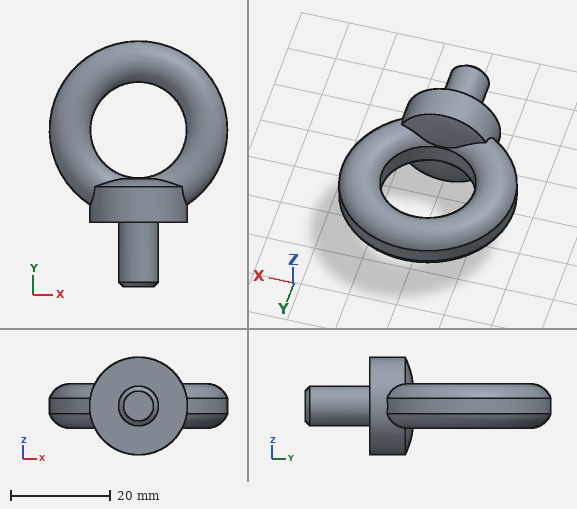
import cadquery as cq
import math

ring_outer_radius = 17.95
ring_inner_radius = 9.65
section_radius = 4.5
outer_flat_height = 3.05

collar_radius = 9.85
collar_edge_y = -11.45
collar_base_y = -18.6
crown_top_y = -9.75
crown_top_radius = 3.95
crown_mid_y = -10.35
crown_mid_radius = 7.0
stud_radius = 4.0
stud_chamfer = 1.0
total_length = 49.55
stud_tip_y = ring_outer_radius - total_length


def make_ring():
    """Round bar section cut flat at the outer and inner rims, swept about Z."""
    outer_half = outer_flat_height / 2
    section_center = ring_outer_radius - math.sqrt(section_radius**2 - outer_half**2)
    inner_half = math.sqrt(section_radius**2 - (section_center - ring_inner_radius) ** 2)
    section = (
        cq.Workplane("XZ")
        .moveTo(ring_inner_radius, -inner_half)
        .lineTo(ring_inner_radius, inner_half)
        .threePointArc((section_center, section_radius), (ring_outer_radius, outer_half))
        .lineTo(ring_outer_radius, -outer_half)
        .threePointArc((section_center, -section_radius), (ring_inner_radius, -inner_half))
        .close()
    )
    return section.revolve(360, (0, 0, 0), (0, 1, 0))


def make_shank():
    """Chamfered stud, collar and domed crown as one turned profile."""
    profile = (
        cq.Workplane("XY")
        .moveTo(0, stud_tip_y)
        .lineTo(stud_radius - stud_chamfer, stud_tip_y)
        .lineTo(stud_radius, stud_tip_y + stud_chamfer)
        .lineTo(stud_radius, collar_base_y)
        .lineTo(collar_radius, collar_base_y)
        .lineTo(collar_radius, collar_edge_y)
        .threePointArc((crown_mid_radius, crown_mid_y), (crown_top_radius, crown_top_y))
        .lineTo(0, crown_top_y)
        .close()
    )
    return profile.revolve(360, (0, 0, 0), (0, 1, 0))


eye = cq.Workplane("XY").circle(ring_inner_radius).extrude(collar_radius, both=True)
result = make_ring().union(make_shank().cut(eye))